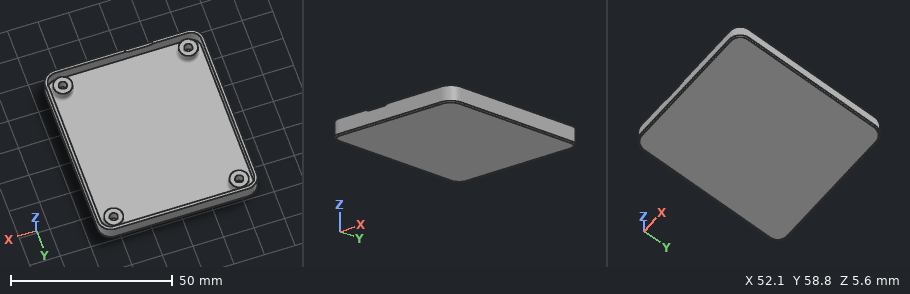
import cadquery as cq
import math

width = 52.1
length = 58.75
height = 5.6
corner_radius = 4.35
wall = 1.0
floor = 1.0
bottom_chamfer = 0.45

boss_spacing_x = 41.1
boss_spacing_y = 48.7
boss_diameter = 6.0
boss_height = 3.0
hole_diameter = 2.6
hole_bottom = 0.45
boss_base_fillet = 1.0

notch_center_x = -5.75
notch_flat = 6.3
notch_depth = 0.5
notch_end_radius = 2.0


def rounded_block(size_x, size_y, size_z, radius):
    """Block standing on Z = 0 with rounded vertical edges."""
    block = cq.Workplane("XY").box(size_x, size_y, size_z, centered=(True, True, False))
    return block.edges("|Z").fillet(radius)


def cavity_block():
    """The full space inside the walls, above the floor."""
    block = rounded_block(
        width - 2 * wall, length - 2 * wall, height - floor, corner_radius - wall
    )
    return block.translate((0, 0, floor))


def at_boss_centers(shape):
    """Four copies of a shape, one on each boss center."""
    copies = cq.Workplane("XY")
    for side_x in (-1, 1):
        for side_y in (-1, 1):
            offset = (side_x * boss_spacing_x / 2, side_y * boss_spacing_y / 2, 0)
            copies = copies.add(shape.translate(offset))
    return copies.combine()


def screw_boss():
    """Boss on the Z axis with a concave fillet flaring onto the floor."""
    radius = boss_diameter / 2
    flare_radius = radius + boss_base_fillet
    flare_top = floor + boss_base_fillet
    arc_inset = boss_base_fillet * math.sqrt(0.5)
    return (
        cq.Workplane("XZ")
        .moveTo(0, hole_bottom)
        .lineTo(flare_radius, hole_bottom)
        .lineTo(flare_radius, floor)
        .threePointArc((flare_radius - arc_inset, flare_top - arc_inset), (radius, flare_top))
        .lineTo(radius, floor + boss_height)
        .lineTo(0, floor + boss_height)
        .close()
        .revolve(360, (0, 0, 0), (0, 1, 0))
    )


def screw_hole():
    """Blind hole cutter on the Z axis, from the boss top into the floor."""
    depth = floor + boss_height - hole_bottom
    return cq.Workplane("XY", origin=(0, 0, hole_bottom)).circle(hole_diameter / 2).extrude(depth)


def rim_notch():
    """Cutter with a flat bottom and arc ends tangent to it, cut off at the rim."""
    half_flat = notch_flat / 2
    end_angle = math.acos(1 - notch_depth / notch_end_radius)

    def arc_point(side, angle):
        x = side * (half_flat + notch_end_radius * math.sin(angle))
        z = -notch_depth + notch_end_radius * (1 - math.cos(angle))
        return (x, z)

    return (
        cq.Workplane("XZ", origin=(notch_center_x, -length / 2 + wall, height))
        .moveTo(*arc_point(-1, end_angle))
        .threePointArc(arc_point(-1, end_angle / 2), arc_point(-1, 0))
        .lineTo(*arc_point(1, 0))
        .threePointArc(arc_point(1, end_angle / 2), arc_point(1, end_angle))
        .close()
        .extrude(wall)
    )


outer = rounded_block(width, length, height, corner_radius)
outer = outer.faces("<Z").edges().chamfer(bottom_chamfer)
tray = outer.cut(cavity_block())

tray = tray.union(at_boss_centers(screw_boss()))
tray = tray.cut(at_boss_centers(screw_hole()))

result = tray.cut(rim_notch())